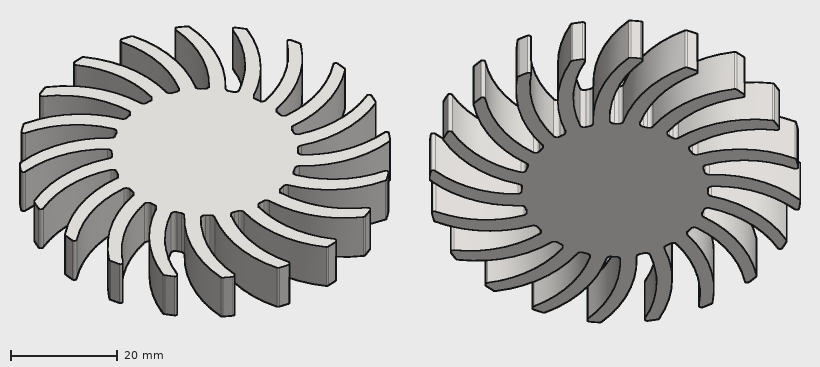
import cadquery as cq
import math

THICKNESS = 10.0
TIP_RADIUS = 35.0
HUB_RADIUS = 17.5
BLADE_COUNT = 20
BLADE_PITCH = 360.0 / BLADE_COUNT

CONVEX_FLANK_RADIUS = 23.0
CONVEX_CENTRE_DISTANCE = 26.5
CONVEX_CENTRE_ANGLE = 54.08
CONCAVE_FLANK_RADIUS = 21.5
CONCAVE_CENTRE_DISTANCE = 27.85
CONCAVE_CENTRE_ANGLE = 55.97

CONVEX_FLANK = (CONVEX_FLANK_RADIUS, CONVEX_CENTRE_DISTANCE, CONVEX_CENTRE_ANGLE)
CONCAVE_FLANK = (CONCAVE_FLANK_RADIUS, CONCAVE_CENTRE_DISTANCE, CONCAVE_CENTRE_ANGLE)

ROOT_FILLET = 0.85
TIP_FILLET = 0.5

POSITION_TOLERANCE = 0.01


def polar_point(radius, angle):
    """Point at a radius and an angle in degrees about the hub axis."""
    return (radius * math.cos(math.radians(angle)), radius * math.sin(math.radians(angle)))


def flank_angle(flank, radius):
    """Angle at which a flank of the first blade crosses a circle about the hub axis."""
    flank_radius, distance, centre_angle = flank
    cosine = (radius**2 + distance**2 - flank_radius**2) / (2 * radius * distance)
    return centre_angle - math.degrees(math.acos(cosine))


def rotor_outline():
    """Closed outline: convex flank, tip, concave flank and slot floor of every blade in turn."""
    middle_radius = (HUB_RADIUS + TIP_RADIUS) / 2
    convex_root = flank_angle(CONVEX_FLANK, HUB_RADIUS)
    convex_middle = flank_angle(CONVEX_FLANK, middle_radius)
    convex_tip = flank_angle(CONVEX_FLANK, TIP_RADIUS)
    concave_tip = flank_angle(CONCAVE_FLANK, TIP_RADIUS)
    concave_middle = flank_angle(CONCAVE_FLANK, middle_radius)
    concave_root = flank_angle(CONCAVE_FLANK, HUB_RADIUS)
    next_root = convex_root + BLADE_PITCH
    tip_middle = (convex_tip + concave_tip) / 2
    floor_middle = (concave_root + next_root) / 2

    outline = cq.Workplane("XY").moveTo(*polar_point(HUB_RADIUS, convex_root))
    for blade in range(BLADE_COUNT):
        turn = blade * BLADE_PITCH
        outline = (
            outline
            .threePointArc(
                polar_point(middle_radius, convex_middle + turn),
                polar_point(TIP_RADIUS, convex_tip + turn),
            )
            .threePointArc(
                polar_point(TIP_RADIUS, tip_middle + turn),
                polar_point(TIP_RADIUS, concave_tip + turn),
            )
            .threePointArc(
                polar_point(middle_radius, concave_middle + turn),
                polar_point(HUB_RADIUS, concave_root + turn),
            )
            .threePointArc(
                polar_point(HUB_RADIUS, floor_middle + turn),
                polar_point(HUB_RADIUS, next_root + turn),
            )
        )
    return outline.close()


def flank_corners(body, flank, radius):
    """Vertical edges of the body where this flank of every blade meets a circle about the hub axis."""
    first_angle = flank_angle(flank, radius)
    corners = [polar_point(radius, first_angle + blade * BLADE_PITCH) for blade in range(BLADE_COUNT)]

    def at_corner(edge):
        centre = edge.Center()
        return any(math.dist((centre.x, centre.y), corner) < POSITION_TOLERANCE for corner in corners)

    return body.edges("|Z").filter(at_corner)


body = rotor_outline().extrude(THICKNESS)
for flank in (CONVEX_FLANK, CONCAVE_FLANK):
    body = flank_corners(body, flank, HUB_RADIUS).fillet(ROOT_FILLET)
    body = flank_corners(body, flank, TIP_RADIUS).fillet(TIP_FILLET)
result = body